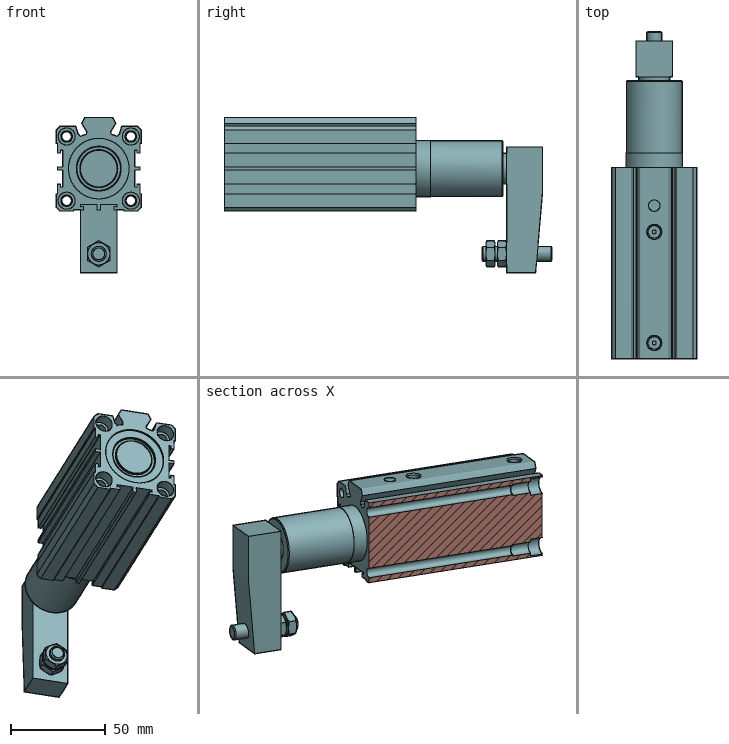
import cadquery as cq
import math


half_width = 22.5
body_length = 101.2
corner_chamfer = 2.0
rail_top = 27.0
rail_top_half = 7.5
rail_edge_radius = 0.5
rail_wide_half = 9.0
rail_wide_height = 23.9
groove_neck_half = 12.1
groove_outer_corner = (10.9, 18.3)
groove_floor_corner = (9.7, 17.1)
groove_inner_low = (6.5, 18.2)
groove_inner_high = (6.4, 19.5)

lip_relief = 0.7
lip_relief_half = 13.3
slot_half = 8.1
undercut_half = 9.7
slot_floor = 19.0
undercut_depth = 1.0
fin_half = 0.9
lip_face = half_width - lip_relief

bolt_spacing = 33.9
counterbore_diameter = 9.0
counterbore_depth = 7.0
thread_diameter = 6.0
thread_depth = 17.3
through_diameter = 5.0

cap_diameter = 32.0
cap_recess = 1.0
ring_outer_diameter = 23.0
ring_inner_diameter = 20.0
ring_depth = 1.0
ring_chamfer = 0.3

port_places = (8.5, 67.1)
port_diameter = 6.5
port_mouth_diameter = 8.0
port_depth = 10.4
port_pilot_diameter = 2.0
port_pilot_depth = 1.7
plug_place = 81.0
plug_diameter = 6.0
plug_recess = 0.2

collar_diameter = 30.0
collar_end = 108.8
boss_diameter = 29.5
boss_end = 147.0
boss_chamfer = 0.5

rod_diameter = 16.5
arm_front = 149.0
arm_back = 168.0
arm_toe_back = 164.4
arm_half_width = 9.7
arm_top = 11.5
arm_bottom = -55.0
taper_start = -12.8

bolt_height = -45.0
bolt_diameter = 8.0
bolt_start = 136.0
bolt_end = 173.0
bolt_chamfer_length = 0.5
bolt_chamfer_height = 0.9
nut_across_flats = 12.0
nut_thickness = 4.8
nut_gap = 1.2
nut_chamfer_length = 0.5
nut_chamfer_height = 1.0


def tapered_bar(diameter, start, end, z, chamfer_length, chamfer_height):
    """Round bar along Y whose ends taper by the chamfer height over the chamfer length."""
    radius = diameter / 2
    half_outline = [
        (0, start),
        (radius - chamfer_height, start),
        (radius, start + chamfer_length),
        (radius, end - chamfer_length),
        (radius - chamfer_height, end),
        (0, end),
    ]
    bar = cq.Workplane("XY").polyline(half_outline).close().revolve(360, (0, 0, 0), (0, 1, 0))
    return bar.translate((0, 0, z))


def cylinder(diameter, start, end, x=0.0, z=0.0):
    """Round bar along Y from start to end."""
    return cq.Workplane("XZ", origin=(x, start, z)).circle(diameter / 2).extrude(start - end)


def rail_hole(diameter, place, depth_from, depth_to):
    """Vertical round cutter between two depths below the rail top."""
    base = cq.Workplane("XY", origin=(0, place, rail_top - depth_to))
    return base.circle(diameter / 2).extrude(depth_to - depth_from)


def half_slot():
    """Lip, undercut and half fin of one slot, as (along the side, out from the axis) points."""
    return [
        (lip_relief_half, half_width),
        (lip_relief_half, lip_face),
        (slot_half, lip_face),
        (slot_half, slot_floor + undercut_depth),
        (undercut_half, slot_floor + undercut_depth),
        (undercut_half, slot_floor),
        (fin_half, slot_floor),
        (fin_half, lip_face),
    ]


def slotted_side(turns):
    """Points of one slotted side, from its first lip to its last, turned by quarter turns."""
    first_half = [(-along, out) for along, out in half_slot()]
    second_half = [(along, out) for along, out in reversed(half_slot())]
    cosine = math.cos(turns * math.pi / 2)
    sine = math.sin(turns * math.pi / 2)
    return [
        (along * cosine - out * sine, along * sine + out * cosine)
        for along, out in first_half + second_half
    ]


def chamfered_corner(side_x, side_z):
    """Two points of an outer corner: the one on the side face, then the one on the top or bottom."""
    short = half_width - corner_chamfer
    return [(side_x * half_width, side_z * short), (side_x * short, side_z * half_width)]


def half_rail():
    """Right groove and right half of the rail, from the groove mouth to the rail top."""
    return [
        (groove_neck_half, half_width),
        groove_outer_corner,
        groove_floor_corner,
        groove_inner_low,
        groove_inner_high,
        (rail_wide_half, rail_wide_height),
        (rail_top_half, rail_top),
    ]


def make_body_block():
    """Extruded profile: right side, top with rail, left side, bottom."""
    outline = []
    outline += list(reversed(slotted_side(-1)))
    outline += chamfered_corner(1, 1)
    outline += half_rail()
    outline += [(-x, z) for x, z in reversed(half_rail())]
    outline += list(reversed(chamfered_corner(-1, 1)))
    outline += list(reversed(slotted_side(1)))
    outline += chamfered_corner(-1, -1)
    outline += list(reversed(slotted_side(2)))
    outline += list(reversed(chamfered_corner(1, -1)))
    block = cq.Workplane("XZ").polyline(outline).close().extrude(-body_length)
    block = block.faces(">Z").edges("|Y").fillet(rail_edge_radius)
    for x in (-groove_neck_half, groove_neck_half):
        mouth_edge = cq.selectors.NearestToPointSelector((x, body_length / 2, half_width))
        block = block.edges(mouth_edge).fillet(rail_edge_radius)
    return block


def cut_bolt_holes(body):
    """Stepped bolt hole through each corner, from the front."""
    for x in (-bolt_spacing / 2, bolt_spacing / 2):
        for z in (-bolt_spacing / 2, bolt_spacing / 2):
            body = body.cut(cylinder(counterbore_diameter, 0, counterbore_depth, x, z))
            body = body.cut(cylinder(thread_diameter, 0, thread_depth, x, z))
            body = body.cut(cylinder(through_diameter, 0, body_length, x, z))
    return body


def cut_end_cap(body):
    """Shallow cap recess and, in its floor, a ring groove with both rims chamfered."""
    groove_end = cap_recess + ring_depth
    plug = cylinder(ring_inner_diameter, cap_recess, groove_end).faces("<Y").chamfer(ring_chamfer)
    groove = cylinder(ring_outer_diameter, cap_recess, groove_end)
    flare = cylinder(ring_outer_diameter + 2 * ring_chamfer, cap_recess, cap_recess + ring_depth / 2)
    flare = flare.faces(">Y").chamfer(ring_chamfer)
    body = body.cut(cylinder(cap_diameter, 0, cap_recess))
    return body.cut(groove.union(flare).cut(plug))


def cut_ports(body):
    """Two air ports with chamfered mouths and a shallow plug seat on the rail."""
    mouth_depth = (port_mouth_diameter - port_diameter) / 2
    rail_plane = cq.Workplane("XY", origin=(0, 0, rail_top))
    for place in port_places:
        mouth_rim = rail_plane.center(0, place).circle(port_mouth_diameter / 2)
        mouth = mouth_rim.workplane(offset=-mouth_depth).circle(port_diameter / 2).loft(ruled=True)
        body = body.cut(rail_hole(port_diameter, place, 0, port_depth)).cut(mouth)
        body = body.cut(rail_hole(port_pilot_diameter, place, port_depth, port_depth + port_pilot_depth))
    return body.cut(rail_hole(plug_diameter, plug_place, 0, plug_recess))


def make_housing():
    """Body block with its rear boss; the rod fits a blind hole in the boss."""
    body = cut_ports(cut_end_cap(cut_bolt_holes(make_body_block())))
    collar = cylinder(collar_diameter, body_length, collar_end)
    boss = cylinder(boss_diameter, collar_end, boss_end).faces(">Y").chamfer(boss_chamfer)
    rod_hole = cylinder(rod_diameter, body_length, boss_end)
    return body.union(collar).union(boss).cut(rod_hole)


def make_nut(start):
    """Hexagon nut with a corner pointing up, starting at the given Y."""
    across_corners = nut_across_flats / math.cos(math.pi / 6)
    plane = cq.Workplane("XZ", origin=(0, start, bolt_height)).transformed(rotate=(0, 0, 90))
    nut = plane.polygon(6, across_corners).extrude(-nut_thickness)
    envelope = tapered_bar(
        across_corners, start, start + nut_thickness, bolt_height, nut_chamfer_length, nut_chamfer_height
    )
    return nut.intersect(envelope)


def make_clamp_arm():
    """Arm on its rod, with the clamping bolt and two nuts."""
    side = [
        (arm_front, arm_bottom),
        (arm_front, arm_top),
        (arm_back, arm_top),
        (arm_back, taper_start),
        (arm_toe_back, arm_bottom),
    ]
    arm = cq.Workplane("YZ").polyline(side).close().extrude(arm_half_width, both=True)
    arm = arm.union(cylinder(rod_diameter, body_length, arm_front))
    bolt = tapered_bar(
        bolt_diameter, bolt_start, bolt_end, bolt_height, bolt_chamfer_length, bolt_chamfer_height
    )
    arm = arm.union(bolt)
    inner_nut_start = arm_front - nut_thickness
    outer_nut_start = inner_nut_start - nut_gap - nut_thickness
    for start in (inner_nut_start, outer_nut_start):
        arm = arm.union(make_nut(start))
    return arm


housing = make_housing()
clamp_arm = make_clamp_arm()
result = cq.Compound.makeCompound([housing.val(), clamp_arm.val()])